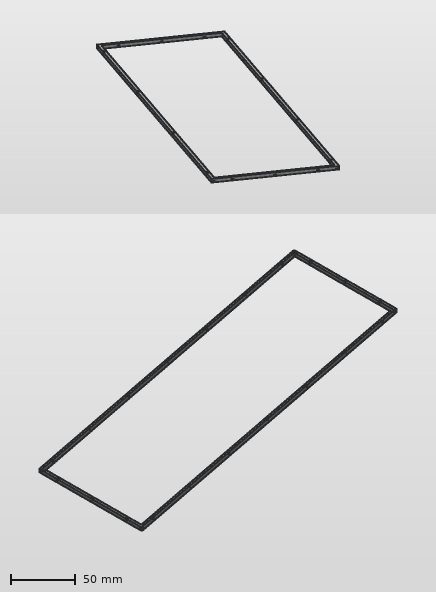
import cadquery as cq

length = 312.5
width = 103.2
height = 3.0
bar_width = 2.97
corner_radius = 0.47

pin_hole_diameter = 1.0
long_bar_pin_offsets = (47.8, 140.5)
short_bar_pin_offset = 34.7

opening_height = 1.0
long_bar_hole_diameter = 0.5
long_bar_hole_offsets = (47.5, 95.7, 139.8)
short_bar_slot_length = 2.0
short_bar_slot_width = 0.5
short_bar_slot_offset = 34.7

bar_center_x = (length - bar_width) / 2
bar_center_y = (width - bar_width) / 2


def both_sides(offsets):
    """Return each offset with its mirror image."""
    return [side * offset for offset in offsets for side in (-1, 1)]


def make_rounded_plate(plate_length, plate_width):
    plate = cq.Workplane("XY").rect(plate_length, plate_width).extrude(height)
    return plate.edges("|Z").fillet(corner_radius)


def make_frame():
    opening = make_rounded_plate(length - 2 * bar_width, width - 2 * bar_width)
    return make_rounded_plate(length, width).cut(opening)


def make_pin_holes():
    points = [
        (x, y)
        for x in both_sides(long_bar_pin_offsets)
        for y in both_sides([bar_center_y])
    ]
    points += [
        (x, y)
        for x in both_sides([bar_center_x])
        for y in both_sides([short_bar_pin_offset])
    ]
    return cq.Workplane("XY").pushPoints(points).circle(pin_hole_diameter / 2).extrude(height)


def make_long_bar_holes(bar_y):
    """Round holes along Y, one bar width deep: at the middle, along the bar and at its ends."""
    offsets = [0] + both_sides([*long_bar_hole_offsets, bar_center_x])
    return (
        cq.Workplane("XZ", origin=(0, bar_y, opening_height))
        .pushPoints([(x, 0) for x in offsets])
        .circle(long_bar_hole_diameter / 2)
        .extrude(bar_width / 2, both=True)
    )


def make_short_bar_slots(bar_x):
    """Flat slots along X, one bar width deep: at the middle, along the bar and at its ends."""
    offsets = [0] + both_sides([short_bar_slot_offset, bar_center_y])
    return (
        cq.Workplane("YZ", origin=(bar_x, 0, opening_height))
        .pushPoints([(y, 0) for y in offsets])
        .slot2D(short_bar_slot_length, short_bar_slot_width)
        .extrude(bar_width / 2, both=True)
    )


result = make_frame().cut(make_pin_holes())
for bar_y in both_sides([bar_center_y]):
    result = result.cut(make_long_bar_holes(bar_y))
for bar_x in both_sides([bar_center_x]):
    result = result.cut(make_short_bar_slots(bar_x))